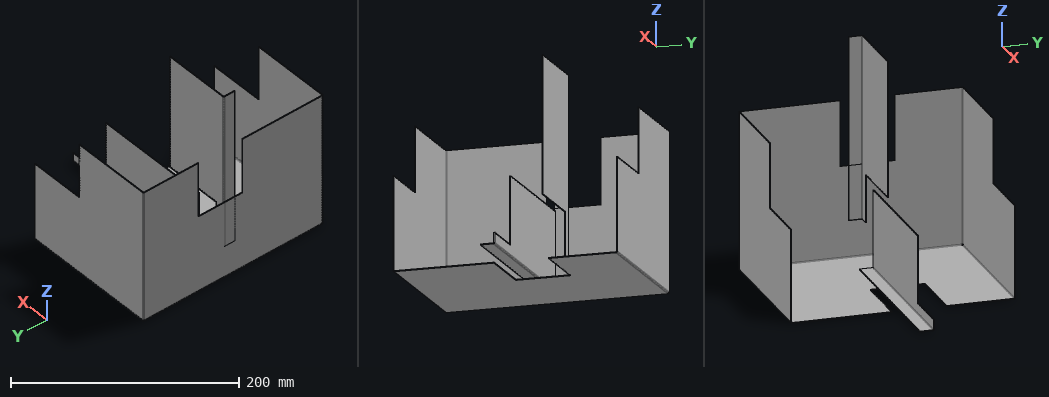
import cadquery as cq

sheet = 0.93
bend_radius = 1.5
inner_bend_radius = bend_radius - sheet

housing_width = 207.0
housing_reach = 147.4
step_reach = 87.1
notch_reach = 86.3
notch_width = 50.3
notch_center_y = 15.0

bracket_end = housing_width - sheet
bracket_start = 35.5
bracket_shoulder = 161.7
bracket_height = 74.0
bracket_strip_height = 11.4
bracket_flange_width = 13.2
bracket_joint_y = 9.7


def make_housing():
    """Tray with a floor, a back wall and two stepped side walls."""
    outside = (
        cq.Workplane("XY")
        .box(housing_reach, housing_width, housing_reach, centered=(False, True, False))
        .edges("(<X and <Z) or (<X and |Z) or (<Z and |X)")
        .fillet(bend_radius)
    )
    inside = (
        cq.Workplane("XY")
        .box(housing_reach, housing_width - 2 * sheet, housing_reach, centered=(False, True, False))
        .edges("(<X and <Z) or (<X and |Z) or (<Z and |X)")
        .fillet(inner_bend_radius)
        .translate((sheet, 0, sheet))
    )
    step_cut = (
        cq.Workplane("XY")
        .box(housing_reach, 2 * housing_width, housing_reach, centered=(False, True, False))
        .translate((step_reach, 0, step_reach))
    )
    tray = outside.cut(inside).cut(step_cut)

    corner_relief = cq.Workplane("XY").box(2 * bend_radius, 2 * bend_radius, 2 * bend_radius)
    for side in (-1, 1):
        tray = tray.cut(corner_relief.translate((0, side * housing_width / 2, 0)))

    notch = (
        cq.Workplane("XY")
        .box(housing_reach, notch_width, housing_reach, centered=(False, True, False))
        .translate((0, notch_center_y, 0))
    )
    wall_notch = notch.translate((0, 0, notch_reach))
    floor_notch = notch.translate((notch_reach, 0, 0))
    return tray.cut(wall_notch).cut(floor_notch)


def make_bracket(plate_back_y):
    """Angle bracket along X: upright web with a long flange on the housing floor."""
    length = bracket_end - bracket_start
    web_height = bracket_height - sheet
    angle = (
        cq.Workplane("XY")
        .box(length, bracket_flange_width, web_height, centered=False)
        .edges("|X and >Y and <Z")
        .fillet(bend_radius)
    )
    hollow = (
        cq.Workplane("XY")
        .box(length, bracket_flange_width, web_height, centered=False)
        .edges("|X and >Y and <Z")
        .fillet(inner_bend_radius)
        .translate((0, -sheet, sheet))
    )
    bracket = angle.cut(hollow).translate((bracket_start, plate_back_y - bracket_flange_width, sheet))

    shoulder_cut = (
        cq.Workplane("XY")
        .box(length, housing_width, bracket_height, centered=(False, True, False))
        .translate((bracket_shoulder, 0, bracket_strip_height))
    )
    return bracket.cut(shoulder_cut)


def make_upright_bracket():
    """The same bracket turned on end, flange on the back wall and low strip at the bottom."""
    bracket = make_bracket(bracket_joint_y + sheet)
    return bracket.rotate((0, 0, 0), (0, 1, 0), 90).translate((0, 0, bracket_end + bracket_start))


housing = make_housing()
floor_bracket = make_bracket(bracket_joint_y)
upright_bracket = make_upright_bracket()

result = cq.Compound.makeCompound([housing.val(), floor_bracket.val(), upright_bracket.val()])